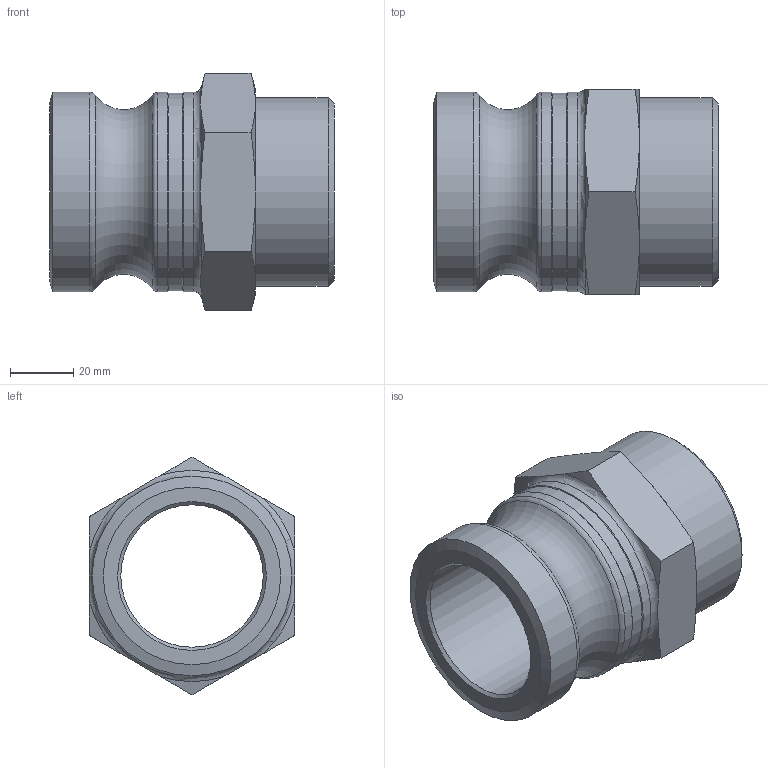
import cadquery as cq
import math


total_length = 90.0
hex_across_flats = 65.0
hex_sides = 6
hex_across_corners = hex_across_flats / math.cos(math.pi / hex_sides)

bore_radius = 45.0 / 2
bore_chamfer = 1.0

coupling_radius = 63.0 / 2
face_radius = 28.0
face_bevel_length = 1.0

groove_center_x = 23.45
groove_floor_radius = 26.0
groove_arc_radius = 11.0
shoulder_arc_radius = 2.1

band_radius = 62.5 / 2
band_start_x = 37.4
band_end_x = 42.2

hex_end_x = 65.0
hex_length = 17.2
hex_start_x = hex_end_x - hex_length
hex_bevel_angle = math.radians(15)
root_fillet_radius = 2.5

spigot_radius = 59.61 / 2
spigot_chamfer = 2.0


def arc_point(center, radius, angle):
    """Point on a circle, with the angle measured from the outward radial direction towards +X."""
    return (center[0] + radius * math.sin(angle), center[1] + radius * math.cos(angle))


def add_cam_groove(profile):
    """Add the cam groove, its two shoulders tangent to both the groove arc and the coupling surface."""
    groove_center = (groove_center_x, groove_floor_radius + groove_arc_radius)
    shoulder_center_r = coupling_radius - shoulder_arc_radius
    center_distance = groove_arc_radius + shoulder_arc_radius
    sweep = math.acos((groove_center[1] - shoulder_center_r) / center_distance)
    shoulder_offset = center_distance * math.sin(sweep)
    near_center = (groove_center_x - shoulder_offset, shoulder_center_r)
    far_center = (groove_center_x + shoulder_offset, shoulder_center_r)
    return (
        profile.lineTo(near_center[0], coupling_radius)
        .threePointArc(
            arc_point(near_center, shoulder_arc_radius, sweep / 2),
            arc_point(near_center, shoulder_arc_radius, sweep),
        )
        .threePointArc(
            (groove_center_x, groove_floor_radius),
            arc_point(far_center, shoulder_arc_radius, -sweep),
        )
        .threePointArc(
            arc_point(far_center, shoulder_arc_radius, -sweep / 2),
            (far_center[0], coupling_radius),
        )
    )


def add_band(profile):
    """Add the shallow band with 45 degree side walls."""
    depth = coupling_radius - band_radius
    return (
        profile.lineTo(band_start_x, coupling_radius)
        .lineTo(band_start_x + depth, band_radius)
        .lineTo(band_end_x - depth, band_radius)
        .lineTo(band_end_x, coupling_radius)
    )


def add_hex_envelope(profile):
    """Add the bevelled disc the hexagon is cut from, with a fillet tangent to its near bevel."""
    flat_radius = hex_across_flats / 2
    outer_radius = hex_across_corners / 2
    bevel_slope = math.tan(hex_bevel_angle)
    bevel_length = (outer_radius - flat_radius) * bevel_slope

    fillet_sweep = math.pi / 2 - hex_bevel_angle
    fillet_center_r = coupling_radius + root_fillet_radius
    fillet_end_r = fillet_center_r - root_fillet_radius * math.cos(fillet_sweep)
    fillet_end_x = hex_start_x + (fillet_end_r - flat_radius) * bevel_slope
    fillet_center = (fillet_end_x - root_fillet_radius * math.sin(fillet_sweep), fillet_center_r)
    return (
        profile.lineTo(fillet_center[0], coupling_radius)
        .threePointArc(
            arc_point(fillet_center, root_fillet_radius, math.pi - fillet_sweep / 2),
            (fillet_end_x, fillet_end_r),
        )
        .lineTo(hex_start_x + bevel_length, outer_radius)
        .lineTo(hex_end_x - bevel_length, outer_radius)
        .lineTo(hex_end_x, flat_radius)
        .lineTo(hex_end_x, spigot_radius)
    )


def make_turned_body():
    """Revolve the half section, bore included, about the X axis."""
    profile = (
        cq.Workplane("XY")
        .moveTo(bore_chamfer, bore_radius)
        .lineTo(0, bore_radius + bore_chamfer)
        .lineTo(0, face_radius)
        .lineTo(face_bevel_length, coupling_radius)
    )
    profile = add_cam_groove(profile)
    profile = add_band(profile)
    profile = add_hex_envelope(profile)
    profile = (
        profile.lineTo(total_length - spigot_chamfer, spigot_radius)
        .lineTo(total_length, spigot_radius - spigot_chamfer)
        .lineTo(total_length, bore_radius)
        .close()
    )
    return profile.revolve(360, (0, 0, 0), (1, 0, 0))


def make_hex_bar():
    """Full-length hexagonal bar with flats facing +Y and -Y and corners on the Z axis."""
    corner_angle = 90
    return (
        cq.Workplane("YZ")
        .transformed(rotate=(0, 0, corner_angle))
        .polygon(hex_sides, hex_across_corners)
        .extrude(total_length)
    )


result = make_turned_body().intersect(make_hex_bar())